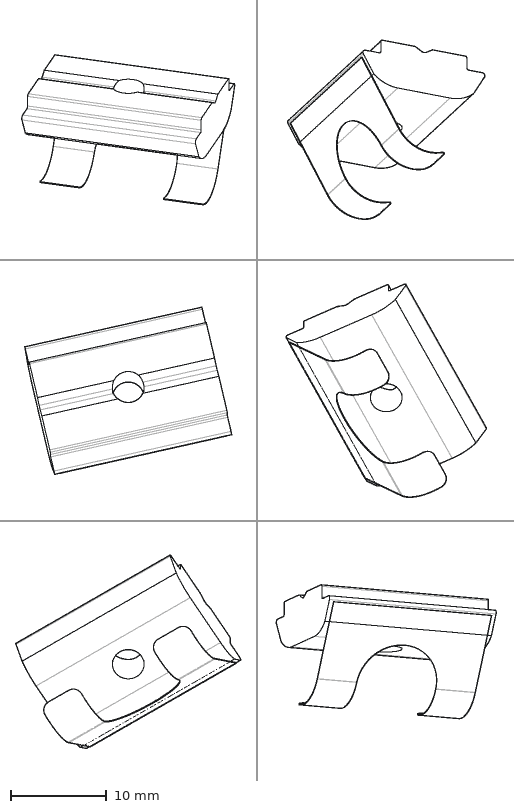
import cadquery as cq
import math

body_length = 19.0
body_width = 14.02
body_height = 5.19
neck_width = 9.9
neck_height = 1.54
edge_radius = 0.2
tip_radius = 0.3
flank_angle = math.radians(60)
belly_flat_width = 6.0
belly_radius = 4.0

groove_width = 2.01
groove_angle = math.radians(30)
groove_radius = 0.5

hole_diameter = 3.3

total_height = 11.68
spring_thickness = 0.1
spring_width = 18.01
spring_start = 0.19
spring_bend_radius = 4.1
foot_end_angle = math.radians(30)
foot_corner_radius = 1.0
arch_radius = 4.5

flank_corner_y = body_width / 2 + tip_radius * (1 / math.tan(flank_angle / 2) - 1)


def flank_y(z):
    """Half-width of the body flank at height z."""
    return flank_corner_y + (z + neck_height) / math.tan(flank_angle)


def flank_offset_point(z, offset):
    """Point on the +Y flank at height z, moved outward along the flank normal."""
    return (flank_y(z) + offset * math.sin(flank_angle), z - offset * math.cos(flank_angle))


def belly_arc_end():
    """Angle from straight down at which the belly arc meets the flank."""
    center_y = belly_flat_width / 2
    center_z = belly_radius - body_height
    normal_gap = (flank_y(center_z) - center_y) * math.sin(flank_angle)
    return flank_angle - math.acos(normal_gap / belly_radius)


def belly_point(side, angle):
    y = belly_flat_width / 2 + belly_radius * math.sin(angle)
    z = belly_radius - body_height - belly_radius * math.cos(angle)
    return (side * y, z)


def extrude_centered(outline, length):
    return outline.close().extrude(length / 2, both=True)


def fillet_at(solid, points, radius):
    """Round the lengthwise edges that pass through the given (y, z) points."""
    reach = 0.02
    for y, z in points:
        box = cq.selectors.BoxSelector(
            (-reach, y - reach, z - reach), (reach, y + reach, z + reach)
        )
        solid = solid.edges(box).fillet(radius)
    return solid


def make_body():
    half_neck = neck_width / 2
    half_groove = groove_width / 2
    groove_depth = half_groove * math.tan(groove_angle)
    arc_end = belly_arc_end()
    outline = (
        cq.Workplane("YZ")
        .moveTo(0, -groove_depth)
        .lineTo(half_groove, 0)
        .lineTo(half_neck, 0)
        .lineTo(half_neck, -neck_height)
        .lineTo(flank_corner_y, -neck_height)
        .lineTo(*belly_point(1, arc_end))
        .threePointArc(belly_point(1, arc_end / 2), belly_point(1, 0))
        .lineTo(*belly_point(-1, 0))
        .threePointArc(belly_point(-1, arc_end / 2), belly_point(-1, arc_end))
        .lineTo(-flank_corner_y, -neck_height)
        .lineTo(-half_neck, -neck_height)
        .lineTo(-half_neck, 0)
        .lineTo(-half_groove, 0)
    )
    body = extrude_centered(outline, body_length)
    body = fillet_at(body, [(0, -groove_depth)], groove_radius)
    for side in (-1, 1):
        neck_corners = [(side * half_neck, 0), (side * half_neck, -neck_height)]
        body = fillet_at(body, neck_corners, edge_radius)
        body = fillet_at(body, [(side * flank_corner_y, -neck_height)], tip_radius)
    return body.cut(cq.Workplane("XY").circle(hole_diameter / 2).extrude(-body_height))


def foot_corner_waste(edge_x, inward, foot_tip):
    """Material outside a rounded foot corner; inward is the X sign toward the foot."""
    tip_plane = cq.Plane(
        origin=(edge_x, *foot_tip),
        xDir=(1, 0, 0),
        normal=(0, math.sin(foot_end_angle), math.cos(foot_end_angle)),
    )
    midpoint = foot_corner_radius * (1 - math.sqrt(0.5))
    return (
        cq.Workplane(tip_plane)
        .lineTo(inward * foot_corner_radius, 0)
        .threePointArc((inward * midpoint, midpoint), (0, foot_corner_radius))
        .close()
        .extrude(4 * spring_thickness, both=True)
    )


def make_spring():
    inner_radius = spring_bend_radius - spring_thickness
    center_z = spring_bend_radius - total_height
    bend_z = center_z - inner_radius * math.cos(flank_angle)
    center_y = flank_y(bend_z) - inner_radius * math.sin(flank_angle)
    tip_tangent_z = -neck_height - tip_radius * (1 + math.cos(flank_angle))
    start_z = tip_tangent_z - spring_start * math.sin(flank_angle)

    def bend_point(radius, angle):
        return (center_y + radius * math.sin(angle), center_z - radius * math.cos(angle))

    outline = (
        cq.Workplane("YZ")
        .moveTo(*flank_offset_point(start_z, 0))
        .lineTo(*bend_point(inner_radius, flank_angle))
        .threePointArc(bend_point(inner_radius, 0), bend_point(inner_radius, -foot_end_angle))
        .lineTo(*bend_point(spring_bend_radius, -foot_end_angle))
        .threePointArc(
            bend_point(spring_bend_radius, 0), bend_point(spring_bend_radius, flank_angle)
        )
        .lineTo(*flank_offset_point(start_z, spring_thickness))
    )
    spring = extrude_centered(outline, spring_width)

    flank_plane = cq.Plane(
        origin=(0, flank_y(bend_z), bend_z),
        xDir=(1, 0, 0),
        normal=(0, math.sin(flank_angle), -math.cos(flank_angle)),
    )
    arch = cq.Workplane(flank_plane).circle(arch_radius).extrude(2 * spring_thickness, both=True)

    gap_depth = 2 * spring_bend_radius
    gap = (
        cq.Workplane("XY", origin=(0, center_y, bend_point(spring_bend_radius, flank_angle)[1]))
        .rect(2 * arch_radius, 2 * gap_depth)
        .extrude(-gap_depth)
    )
    spring = spring.cut(arch).cut(gap)

    foot_tip = bend_point(spring_bend_radius, -foot_end_angle)
    for side in (-1, 1):
        inner_corner = foot_corner_waste(side * arch_radius, side, foot_tip)
        outer_corner = foot_corner_waste(side * spring_width / 2, -side, foot_tip)
        spring = spring.cut(inner_corner).cut(outer_corner)
    return spring


result = make_body().union(make_spring())

result = result.translate((0, 0, total_height / 2))